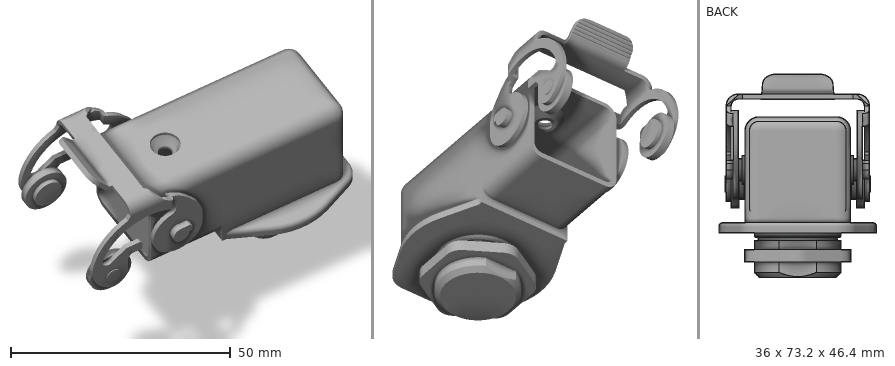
import cadquery as cq
import math

BODY_WIDTH = 24.1
BODY_TOP = 26.4
BODY_BACK = 15.45
BODY_FRONT = -37.0
STEP_Y = -18.1
FRONT_FLOOR = 2.35
BODY_RADIUS = 3.2
WALL = 1.0
FLOOR_WALL = 1.3
CAVITY_RADIUS = BODY_RADIUS - WALL

SCREW_Y = -26.0
SCREW_HEAD_RADIUS = 3.5
SCREW_HOLE_RADIUS = 1.7
SCREW_RIM_DEPTH = 0.8
SCREW_CONE_DEPTH = 1.9
CUP_TOP_RADIUS = 4.4
CUP_BOTTOM_RADIUS = 2.55
CUP_HEIGHT = 2.35

FLANGE_RADIUS = 18.0
FLANGE_THICKNESS = 2.35
FLANGE_EDGE_RADIUS = 0.95
FLANGE_CORNER_RADIUS = 5.1
FLANGE_TANGENT_ANGLE = math.radians(24.3)

GLAND_RADIUS = 9.9
GLAND_BOTTOM = -10.2
GLAND_FLAT_DISTANCE = 8.9
GLAND_CHAMFER = 1.2
COLLAR_HEIGHT = 1.1
COLLAR_CHAMFER = 0.4
NECK_RADIUS = 9.0
NECK_BOTTOM = -1.75
NUT_TOP = -3.8
NUT_HEIGHT = 2.8
NUT_SIDES = 6
NUT_ACROSS_FLATS = 24.15
NUT_CORNER_RADIUS = 4.1

LEVER_HALF_WIDTH = 16.3
SHEET = 1.2
BEND_RADIUS = 2.8
PIVOT = (-31.45, 14.35)
PIVOT_DISC_RADIUS = 6.6
PIVOT_PLATE_OUTER = 14.7
PIVOT_PLATE_INNER = PIVOT_PLATE_OUTER - SHEET
JOG_BACK = -33.1
JOG_RADIUS = 1.45
CHANNEL_BACK = JOG_BACK - JOG_RADIUS
LEVER_TOP = 31.6
BRIDGE_BACK = -38.6
BRIDGE_FRONT = -45.0
BRIDGE_EDGE = -39.35
BRIDGE_EDGE_HALF_WIDTH = 12.6
ARCH_CENTRE = (-40.0, 12.95)
ARCH_RADIUS = 13.25
ARCH_BACK_Y = -32.2
ARCH_FRONT_Y = -52.5
NOTCH = (-32.0, 21.95)
LEVER_FRONT = -55.15
EYE = (-49.6, 11.1)
EYE_RADIUS = 3.95
HOOK_TIP_Y = -41.85
HOOK_TOP = 18.4
HOOK_BOTTOM = 15.8
HOOK_CHAMFER = 0.65
HOOK_ROOT_TOP_Y = -46.1
HOOK_ROOT_BOTTOM_Y = -44.8
HOOK_NECK_Z = 14.7
HOOK_VALLEY_START = (-49.6, 16.1)
HOOK_VALLEY_BOTTOM = (-51.5, 15.6)
NOTCH_END_Y = -33.2
ARM_BACK_LOW = (-25.1, 18.35)
ARM_BACK_MIDDLE = (-27.95, 23.1)
ARM_BACK_HIGH = (-30.4, 25.7)
ARM_BACK_END = (-33.5, 27.35)
BRIDGE_RAMP_Y = -35.55
ARM_FRONT_START = (-45.7, 27.65)
ARM_FRONT_MIDDLE = (-51.95, 23.1)
ARM_FRONT_Z = 15.6
ARM_FRONT_LOW = (-53.7, 10.25)

TAB_THICKNESS = 1.25
TAB_ANGLE = math.radians(50)
TAB_BEND_RADIUS = 1.1
TAB_LEAD = 0.3
TAB_TOP = 36.15
TAB_ROOT_HALF_WIDTH = 8.55
TAB_TIP_HALF_WIDTH = 7.8
TAB_CORNER_RADIUS = 3.1
GRIP_COUNT = 5
GRIP_PITCH = 0.9
GRIP_WIDTH = 0.45
GRIP_DEPTH = 0.15

HUB_RADIUS = 3.3
HUB_FLANGE_X = 12.7
HUB_STEM_RADIUS = 2.55
PIN_RADIUS = 2.1
PIN_KEY_REACH = 2.9
PIN_KEY_CHAMFER = 0.65
ROLLER_RADIUS = 5.5
ROLLER_INNER = 13.3
BOSS_RADIUS = 3.5
BOSS_INNER = 12.2
RIVET_RADIUS = 1.8
RIVET_PROUD = 0.2

OVERLAP = 0.4


def block(x_half, y_min, y_max, z_min, z_max):
    """Box that is symmetric about X = 0."""
    size = (2 * x_half, y_max - y_min, z_max - z_min)
    return cq.Workplane("XY").box(*size, centered=(True, False, False)).translate((0, y_min, z_min))


def cylinder_x(centre, radius, x_start, x_end):
    """Cylinder along X around a (Y, Z) centre."""
    return (
        cq.Workplane("YZ", origin=(x_start, 0, 0))
        .center(*centre)
        .circle(radius)
        .extrude(x_end - x_start)
    )


def both_sides(right):
    """The given +X feature together with its mirror image."""
    return right.union(right.mirror("YZ"))


def make_body():
    half = BODY_WIDTH / 2
    rear = block(half, STEP_Y, BODY_BACK, 0, BODY_TOP)
    rear = rear.edges("(|Z and >Y) or (>Z and (not <Y))").fillet(BODY_RADIUS)
    front = block(half, BODY_FRONT, STEP_Y, FRONT_FLOOR, BODY_TOP)
    front = front.edges("|Y").fillet(BODY_RADIUS)
    cavity = block(half - WALL, BODY_FRONT, BODY_BACK - WALL, FRONT_FLOOR + FLOOR_WALL, BODY_TOP - WALL)
    cavity = cavity.edges("|Y").fillet(CAVITY_RADIUS)
    return rear.union(front).cut(cavity)


def add_screw_hole(body):
    """Countersunk hole through a tapered cup that hangs from the roof into the cavity."""
    cup_bottom = BODY_TOP - WALL - CUP_HEIGHT
    cone_top = BODY_TOP - SCREW_RIM_DEPTH
    cone_bottom = cone_top - SCREW_CONE_DEPTH

    def turned(profile):
        half_section = cq.Workplane("XZ", origin=(0, SCREW_Y, 0)).polyline(profile).close()
        return half_section.revolve(360, (0, 0), (0, 1))

    cup = turned([
        (0, cup_bottom),
        (CUP_BOTTOM_RADIUS, cup_bottom),
        (CUP_TOP_RADIUS, BODY_TOP - WALL),
        (0, BODY_TOP - WALL),
    ])
    hole = turned([
        (0, cup_bottom),
        (SCREW_HOLE_RADIUS, cup_bottom),
        (SCREW_HOLE_RADIUS, cone_bottom),
        (SCREW_HEAD_RADIUS, cone_top),
        (SCREW_HEAD_RADIUS, BODY_TOP),
        (0, BODY_TOP),
    ])
    return body.union(cup).cut(hole)


def make_flange():
    """Round plate with tangent sides running to a straight back edge and to the body step."""
    touch_x = FLANGE_RADIUS * math.cos(FLANGE_TANGENT_ANGLE)
    touch_y = FLANGE_RADIUS * math.sin(FLANGE_TANGENT_ANGLE)

    def tangent_x(y):
        return touch_x - (abs(y) - touch_y) * math.tan(FLANGE_TANGENT_ANGLE)

    back = FLANGE_RADIUS
    back_x = tangent_x(back)
    step_x = tangent_x(STEP_Y)
    plate = (
        cq.Workplane("XY")
        .moveTo(-back_x, back)
        .lineTo(back_x, back)
        .lineTo(touch_x, touch_y)
        .threePointArc((FLANGE_RADIUS, 0), (touch_x, -touch_y))
        .lineTo(step_x, STEP_Y)
        .lineTo(-step_x, STEP_Y)
        .lineTo(-touch_x, -touch_y)
        .threePointArc((-FLANGE_RADIUS, 0), (-touch_x, touch_y))
        .close()
        .extrude(FLANGE_THICKNESS)
    )
    plate = plate.edges("|Z and >Y").fillet(FLANGE_CORNER_RADIUS)
    return plate.faces(">Z").edges().fillet(FLANGE_EDGE_RADIUS)


def make_gland():
    collar = cq.Workplane("XY").circle(GLAND_RADIUS).extrude(-COLLAR_HEIGHT)
    collar = collar.faces("<Z").edges().chamfer(COLLAR_CHAMFER)
    neck = cq.Workplane("XY").circle(NECK_RADIUS).extrude(NECK_BOTTOM)
    barrel = cq.Workplane("XY", origin=(0, 0, NECK_BOTTOM)).circle(GLAND_RADIUS)
    barrel = barrel.extrude(GLAND_BOTTOM - NECK_BOTTOM).faces("<Z").edges().chamfer(GLAND_CHAMFER)
    barrel = barrel.intersect(
        block(GLAND_RADIUS, -GLAND_FLAT_DISTANCE, GLAND_FLAT_DISTANCE, GLAND_BOTTOM, NECK_BOTTOM)
    )
    nut = (
        cq.Workplane("XY", origin=(0, 0, NUT_TOP))
        .polygon(NUT_SIDES, NUT_ACROSS_FLATS, circumscribed=True)
        .extrude(-NUT_HEIGHT)
        .edges("|Z")
        .fillet(NUT_CORNER_RADIUS)
    )
    return collar.union(neck).union(barrel).union(nut)


def arch_z(y):
    """Height of the round underside of the lever arm."""
    return ARCH_CENTRE[1] + math.sqrt(ARCH_RADIUS**2 - (y - ARCH_CENTRE[0]) ** 2)


def make_lever_silhouette():
    """Side outline of the lever, as thick as the lever is wide."""
    pivot_y, pivot_z = PIVOT
    eye_y, eye_z = EYE
    notch_rise = math.sqrt(PIVOT_DISC_RADIUS**2 - (NOTCH_END_Y - pivot_y) ** 2)
    notch_end = (NOTCH_END_Y, pivot_z + notch_rise)
    disc_back = (pivot_y + PIVOT_DISC_RADIUS, pivot_z)
    disc_bottom = (pivot_y, pivot_z - PIVOT_DISC_RADIUS)
    bend_z = LEVER_TOP - BEND_RADIUS
    diagonal = EYE_RADIUS * math.sqrt(0.5)
    return (
        cq.Workplane("YZ")
        .moveTo(*disc_back)
        .threePointArc(ARM_BACK_LOW, ARM_BACK_MIDDLE)
        .threePointArc(ARM_BACK_HIGH, ARM_BACK_END)
        .lineTo(BRIDGE_RAMP_Y, bend_z)
        .lineTo(BRIDGE_BACK, LEVER_TOP)
        .lineTo(BRIDGE_FRONT, LEVER_TOP)
        .lineTo(BRIDGE_FRONT, bend_z)
        .lineTo(*ARM_FRONT_START)
        .threePointArc(ARM_FRONT_MIDDLE, (LEVER_FRONT, ARM_FRONT_Z))
        .threePointArc(ARM_FRONT_LOW, (eye_y, eye_z - EYE_RADIUS))
        .threePointArc((eye_y + diagonal, eye_z - diagonal), (eye_y + EYE_RADIUS, eye_z))
        .lineTo(eye_y + EYE_RADIUS, HOOK_NECK_Z)
        .lineTo(HOOK_ROOT_BOTTOM_Y, HOOK_BOTTOM)
        .lineTo(HOOK_TIP_Y, HOOK_BOTTOM)
        .lineTo(HOOK_TIP_Y, HOOK_TOP - HOOK_CHAMFER)
        .lineTo(HOOK_TIP_Y - HOOK_CHAMFER, HOOK_TOP)
        .lineTo(HOOK_ROOT_TOP_Y, HOOK_TOP)
        .lineTo(*HOOK_VALLEY_START)
        .threePointArc(HOOK_VALLEY_BOTTOM, (ARCH_FRONT_Y, arch_z(ARCH_FRONT_Y)))
        .threePointArc((ARCH_CENTRE[0], arch_z(ARCH_CENTRE[0])), (ARCH_BACK_Y, arch_z(ARCH_BACK_Y)))
        .threePointArc(NOTCH, notch_end)
        .threePointArc(disc_bottom, disc_back)
        .close()
        .extrude(LEVER_HALF_WIDTH, both=True)
    )


def make_lever():
    """Bent sheet: a channel whose legs step inwards to the pivot plates."""
    outer = block(LEVER_HALF_WIDTH, LEVER_FRONT, CHANNEL_BACK, 0, LEVER_TOP)
    outer = outer.edges("|Y and >Z").fillet(BEND_RADIUS)
    inner = block(LEVER_HALF_WIDTH - SHEET, LEVER_FRONT, CHANNEL_BACK, 0, LEVER_TOP - SHEET)
    inner = inner.edges("|Y and >Z").fillet(BEND_RADIUS - SHEET)
    plate_back = PIVOT[0] + PIVOT_DISC_RADIUS
    plate_front = PIVOT[0] - PIVOT_DISC_RADIUS
    corner_x = LEVER_HALF_WIDTH - JOG_RADIUS
    corner_offset = JOG_RADIUS * math.sqrt(0.5)
    stepped_leg = (
        cq.Workplane("XY", origin=(0, 0, NOTCH[1]))
        .moveTo(PIVOT_PLATE_OUTER, plate_back)
        .lineTo(PIVOT_PLATE_OUTER, JOG_BACK)
        .lineTo(corner_x, JOG_BACK)
        .threePointArc(
            (corner_x + corner_offset, CHANNEL_BACK + corner_offset),
            (LEVER_HALF_WIDTH, CHANNEL_BACK),
        )
        .lineTo(LEVER_HALF_WIDTH - SHEET, CHANNEL_BACK)
        .lineTo(LEVER_HALF_WIDTH - SHEET, JOG_BACK - SHEET)
        .lineTo(PIVOT_PLATE_INNER, JOG_BACK - SHEET)
        .lineTo(PIVOT_PLATE_INNER, plate_back)
        .close()
        .extrude(LEVER_TOP - NOTCH[1])
    )
    pivot_plate = (
        block(PIVOT_PLATE_OUTER, plate_front, plate_back, 0, NOTCH[1])
        .cut(block(PIVOT_PLATE_INNER, plate_front, plate_back, 0, NOTCH[1]))
    )
    channel = outer.cut(inner).cut(
        block(LEVER_HALF_WIDTH, plate_front, CHANNEL_BACK, 0, NOTCH[1])
    )
    sheet = channel.union(both_sides(stepped_leg)).union(pivot_plate)
    bevel_run = CHANNEL_BACK - BRIDGE_EDGE
    setback = (
        cq.Workplane("XY", origin=(0, 0, LEVER_TOP - BEND_RADIUS))
        .polyline([
            (-BRIDGE_EDGE_HALF_WIDTH - bevel_run, CHANNEL_BACK),
            (-BRIDGE_EDGE_HALF_WIDTH, BRIDGE_EDGE),
            (BRIDGE_EDGE_HALF_WIDTH, BRIDGE_EDGE),
            (BRIDGE_EDGE_HALF_WIDTH + bevel_run, CHANNEL_BACK),
        ])
        .close()
        .extrude(BEND_RADIUS)
    )
    return make_lever_silhouette().intersect(sheet).cut(setback)


def make_tab():
    """Tab that starts level at the bridge edge, bends upwards and ends with a straight blade."""
    cos_a = math.cos(TAB_ANGLE)
    sin_a = math.sin(TAB_ANGLE)
    bend_y = BRIDGE_FRONT - TAB_LEAD
    bend_z = LEVER_TOP + TAB_BEND_RADIUS

    def on_bend(radius, angle):
        return (bend_y - radius * math.sin(angle), bend_z - radius * math.cos(angle))

    upper = TAB_BEND_RADIUS
    lower = TAB_BEND_RADIUS + TAB_THICKNESS
    upper_end = on_bend(upper, TAB_ANGLE)
    lower_end = on_bend(lower, TAB_ANGLE)
    blade = (TAB_TOP - upper_end[1]) / sin_a
    root_y = BRIDGE_FRONT + OVERLAP
    upper_tip = (upper_end[0] - blade * cos_a, TAB_TOP)
    lower_tip = (lower_end[0] - blade * cos_a, lower_end[1] + blade * sin_a)
    bent_strip = (
        cq.Workplane("YZ")
        .moveTo(root_y, LEVER_TOP)
        .lineTo(bend_y, LEVER_TOP)
        .threePointArc(on_bend(upper, TAB_ANGLE / 2), upper_end)
        .lineTo(*upper_tip)
        .lineTo(*lower_tip)
        .lineTo(*lower_end)
        .threePointArc(on_bend(lower, TAB_ANGLE / 2), on_bend(lower, 0))
        .lineTo(root_y, LEVER_TOP - TAB_THICKNESS)
        .close()
        .extrude(TAB_ROOT_HALF_WIDTH, both=True)
    )
    length = 2 * blade
    outline = (
        cq.Workplane(cq.Plane(origin=(0, *upper_tip), xDir=(1, 0, 0), normal=(0, sin_a, cos_a)))
        .polyline([
            (-TAB_TIP_HALF_WIDTH, 0),
            (TAB_TIP_HALF_WIDTH, 0),
            (TAB_ROOT_HALF_WIDTH, length),
            (-TAB_ROOT_HALF_WIDTH, length),
        ])
        .close()
        .extrude(length, both=True)
    )
    outline = outline.edges(cq.selectors.ParallelDirSelector(cq.Vector(0, sin_a, cos_a)))
    outline = outline.edges("<Y").fillet(TAB_CORNER_RADIUS)
    tab = bent_strip.intersect(outline)
    underside = cq.Plane(origin=(0, *lower_tip), xDir=(0, cos_a, -sin_a), normal=(1, 0, 0))
    for number in range(1, GRIP_COUNT + 1):
        middle = number * GRIP_PITCH
        groove = (
            cq.Workplane(underside)
            .polyline([
                (middle - GRIP_WIDTH / 2, 0),
                (middle + GRIP_WIDTH / 2, 0),
                (middle, GRIP_DEPTH),
            ])
            .close()
            .extrude(TAB_ROOT_HALF_WIDTH, both=True)
        )
        tab = tab.cut(groove)
    return tab


def make_pivot():
    """Stepped hub from the body wall to the pivot plate, and the keyed pin head outside it."""
    pivot_y, pivot_z = PIVOT
    flange = cylinder_x(PIVOT, HUB_RADIUS, BODY_WIDTH / 2 - OVERLAP, HUB_FLANGE_X)
    stem = cylinder_x(PIVOT, HUB_STEM_RADIUS, HUB_FLANGE_X, PIVOT_PLATE_INNER + OVERLAP)
    pin_start = PIVOT_PLATE_OUTER - OVERLAP
    pin = cylinder_x(PIVOT, PIN_RADIUS, pin_start, LEVER_HALF_WIDTH)
    key = (
        cq.Workplane("XY")
        .box(LEVER_HALF_WIDTH - pin_start, PIN_KEY_REACH, PIN_RADIUS, centered=False)
        .edges("|X and >Y and >Z")
        .chamfer(PIN_KEY_CHAMFER)
        .translate((pin_start, pivot_y, pivot_z))
    )
    return both_sides(flange.union(stem).union(pin).union(key))


def make_roller():
    """Locking roller inside the eye of each arm, held by a rivet."""
    arm_inner = LEVER_HALF_WIDTH - SHEET
    boss = cylinder_x(EYE, BOSS_RADIUS, BOSS_INNER, ROLLER_INNER)
    roller = cylinder_x(EYE, ROLLER_RADIUS, ROLLER_INNER, arm_inner)
    rivet = cylinder_x(EYE, RIVET_RADIUS, ROLLER_INNER, LEVER_HALF_WIDTH + RIVET_PROUD)
    return both_sides(boss.union(roller).union(rivet))


result = add_screw_hole(make_body())
for feature in (make_flange(), make_gland(), make_pivot(), make_lever(), make_tab(), make_roller()):
    result = result.union(feature)